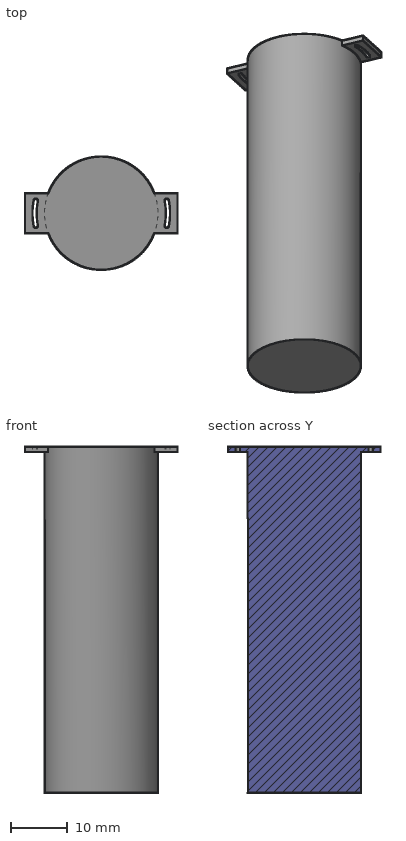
import cadquery as cq
import math

body_diameter = 20.0
body_height = 61.0

tab_span = 26.93
tab_width = 7.1
tab_thickness = 1.0

slot_radius = 11.75
slot_width = 0.7
slot_length = 5.1

tab_bottom = body_height - tab_thickness


def make_body():
    return cq.Workplane("XY").circle(body_diameter / 2).extrude(body_height)


def make_tabs():
    """One bar across the body, whose two ends stand out as the tabs."""
    return (
        cq.Workplane("XY", origin=(0, 0, tab_bottom))
        .rect(tab_span, tab_width)
        .extrude(tab_thickness)
    )


def make_slot(angle):
    """Arc-shaped slot with round ends, centred on the given direction from the axis."""
    end_radius = slot_width / 2
    half_angle = math.asin((slot_length / 2 - end_radius) / slot_radius)
    inner_radius = slot_radius - end_radius
    outer_radius = slot_radius + end_radius

    def at(radius, turn):
        """Point at a given radius and angle about the body axis."""
        return (radius * math.cos(turn), radius * math.sin(turn))

    def end_tip(side):
        """Outermost point of a round end, one end radius beyond the centre of that end."""
        x, y = at(slot_radius, side * half_angle)
        return (x - end_radius * math.sin(half_angle), y + side * end_radius * math.cos(half_angle))

    return (
        cq.Workplane("XY", origin=(0, 0, tab_bottom))
        .moveTo(*at(outer_radius, -half_angle))
        .threePointArc(at(outer_radius, 0), at(outer_radius, half_angle))
        .threePointArc(end_tip(1), at(inner_radius, half_angle))
        .threePointArc(at(inner_radius, 0), at(inner_radius, -half_angle))
        .threePointArc(end_tip(-1), at(outer_radius, -half_angle))
        .close()
        .extrude(tab_thickness)
        .rotate((0, 0, 0), (0, 0, 1), angle)
    )


result = make_body().union(make_tabs())
for slot_angle in (0, 180):
    result = result.cut(make_slot(slot_angle))